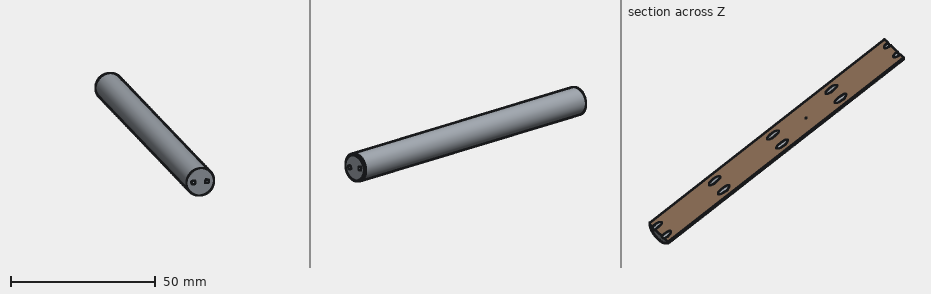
import cadquery as cq
import math

length = 110.0
diameter = 10.0
chamfer_size = 0.5
hole_diameter = 1.4
hole_spacing = 5.0
hole_start_angle = 7.5
helix_angle = 30.0

helix_pitch = math.pi * diameter / math.tan(math.radians(helix_angle))
total_twist = 360 * length / helix_pitch

rod = cq.Workplane("YZ").circle(diameter / 2).extrude(length / 2, both=True)
rod = rod.faces("<X").chamfer(chamfer_size)


def coolant_hole(start_angle):
    """Right-handed helical hole from the -X end to the +X end."""
    return (
        cq.Workplane("YZ", origin=(-length / 2, 0, 0))
        .transformed(rotate=(0, 0, start_angle))
        .pushPoints([(hole_spacing / 2, 0)])
        .circle(hole_diameter / 2)
        .twistExtrude(length, total_twist)
    )


result = rod
for side_angle in (0, 180):
    result = result.cut(coolant_hole(side_angle - hole_start_angle))